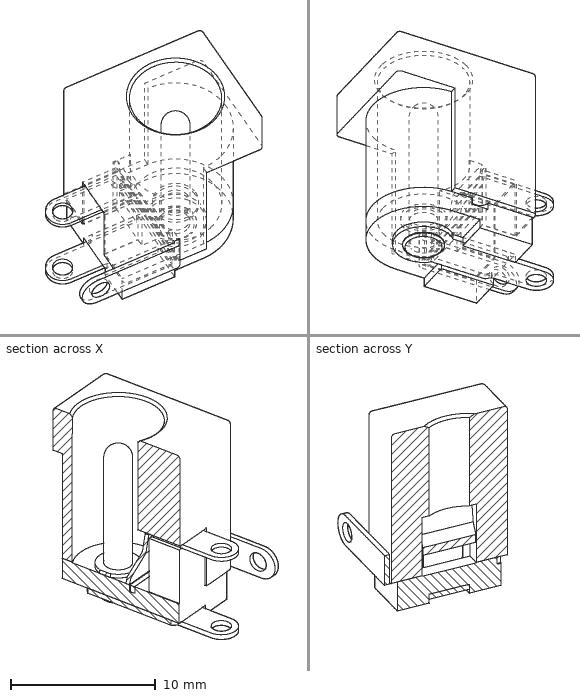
import cadquery as cq
import math


HOUSING_WIDTH = 9.0
HOUSING_BACK_Y = 4.5
HOUSING_FRONT_Y = -6.5
HOUSING_BOTTOM_Z = -11.97
HEAD_HEIGHT = 3.5
EDGE_RADIUS = 0.3
BARREL_RADIUS = 4.0
BORE_RADIUS = 3.2
BORE_CHAMFER = 0.2

BASE_FRONT_Y = -6.4
BASE_BOTTOM_Z = -13.59
FOOT_HEIGHT = 0.7
FOOT_BACK_Y = -2.25
TONGUE_WIDTH = 3.0
TONGUE_BACK_Y = -3.8
NOTCH_WIDTH = 3.07
NOTCH_TOP_Z = -7.3
EDGE_NOTCH_RADIUS = 0.61
EDGE_NOTCH_Y = -2.26

TAB_END_Y = -10.1
TAB_WIDTH = 2.4
TAB_HOLE_RADIUS = 0.7
TAB_ROUND_Y = TAB_END_Y + TAB_WIDTH / 2

PIN_TERMINAL_THICKNESS = 0.4
PIN_TERMINAL_RADIUS = 2.15
PIN_TERMINAL_NECK_WIDTH = 3.1
SHOULDER_Y = -5.7
SHOULDER_DEPTH = (PIN_TERMINAL_NECK_WIDTH - TAB_WIDTH) / 2

PIN_RADIUS = 1.01
PIN_TIP_Z = -2.19
FLANGE_RADIUS = 1.6
FLANGE_HEIGHT = 0.29
RIVET_RADIUS = 1.46
RIVET_HEIGHT = 0.23
RIVET_CHAMFER = 0.18

SPRING_THICKNESS = 0.3
SPRING_TOP_Z = -7.35
LEAF_WIDTH = 4.09
LEAF_POCKET_WIDTH = 4.18
LEAF_TOP_Y = -3.45
LEAF_BEND_Y = -3.21
LEAF_BEND_Z = -8.9
LEAF_KNEE_Y = -1.91
LEAF_KNEE_Z = -11.39
LEAF_TIP_Y = -1.78
LEAF_TIP_Z = HOUSING_BOTTOM_Z

SWITCH_THICKNESS = 0.4
SWITCH_BACK_Y = -2.18
SWITCH_FRONT_Y = SWITCH_BACK_Y - SWITCH_THICKNESS
SWITCH_CLEARANCE = 0.06
SWITCH_TOP_Z = HOUSING_BOTTOM_Z + TAB_WIDTH
SWITCH_OUTER_X = 5.01
SWITCH_INNER_BEND = 0.1
SWITCH_OUTER_BEND = SWITCH_INNER_BEND + SWITCH_THICKNESS
SWITCH_RISER_X = 3.5
SWITCH_HOLE_Y = -8.63
STRIP_LEFT_X = -3.42
STRIP_DEPTH = 0.53


def block(x0, x1, y0, y1, z0, z1):
    """Box between two opposite corners."""
    return cq.Workplane("XY").box(x1 - x0, y1 - y0, z1 - z0, centered=False).translate((x0, y0, z0))


def centered_block(width, y0, y1, z0, z1):
    """Box centered on the pin axis along X."""
    return block(-width / 2, width / 2, y0, y1, z0, z1)


def disc(radius, z0, z1):
    """Cylinder on the pin axis."""
    return cq.Workplane("XY").workplane(offset=z0).circle(radius).extrude(z1 - z0)


def solder_tab(back_y, bottom_z, thickness):
    """Flat tab with a round end and a hole, running from back_y to the tab end."""
    half = TAB_WIDTH / 2
    return (
        cq.Workplane("XY")
        .workplane(offset=bottom_z)
        .moveTo(-half, back_y)
        .lineTo(-half, TAB_ROUND_Y)
        .threePointArc((0, TAB_END_Y), (half, TAB_ROUND_Y))
        .lineTo(half, back_y)
        .close()
        .moveTo(0, TAB_ROUND_Y)
        .circle(TAB_HOLE_RADIUS)
        .extrude(thickness)
    )


def make_housing():
    half = HOUSING_WIDTH / 2
    body = centered_block(HOUSING_WIDTH, HOUSING_FRONT_Y, HOUSING_BACK_Y, HOUSING_BOTTOM_Z, 0)
    body = body.edges("|Z or >Z").fillet(EDGE_RADIUS)

    body = body.cut(centered_block(HOUSING_WIDTH, 0, HOUSING_BACK_Y, HOUSING_BOTTOM_Z, -HEAD_HEIGHT))
    body = body.union(disc(BARREL_RADIUS, HOUSING_BOTTOM_Z, -HEAD_HEIGHT))

    body = body.cut(disc(BORE_RADIUS, HOUSING_BOTTOM_Z, 0))
    body = body.faces(">Z").edges("%CIRCLE").chamfer(BORE_CHAMFER)

    notch = centered_block(NOTCH_WIDTH, HOUSING_FRONT_Y, 0, HOUSING_BOTTOM_Z, NOTCH_TOP_Z)
    pocket = centered_block(LEAF_POCKET_WIDTH, TONGUE_BACK_Y, 0, HOUSING_BOTTOM_Z, NOTCH_TOP_Z)
    body = body.cut(notch).cut(pocket)

    side_slot = block(SWITCH_RISER_X, half, SWITCH_FRONT_Y, SWITCH_BACK_Y, HOUSING_BOTTOM_Z, SWITCH_TOP_Z)
    return body.cut(side_slot)


def make_base():
    half = BARREL_RADIUS
    foot_z = BASE_BOTTOM_Z - FOOT_HEIGHT
    body = centered_block(2 * half, BASE_FRONT_Y, 0, BASE_BOTTOM_Z, HOUSING_BOTTOM_Z)
    body = body.union(disc(half, BASE_BOTTOM_Z, HOUSING_BOTTOM_Z))
    body = body.union(centered_block(2 * half, BASE_FRONT_Y, FOOT_BACK_Y, foot_z, BASE_BOTTOM_Z))
    tongue_top_z = SPRING_TOP_Z - SPRING_THICKNESS
    body = body.union(
        centered_block(TONGUE_WIDTH, BASE_FRONT_Y, TONGUE_BACK_Y, HOUSING_BOTTOM_Z, tongue_top_z)
    )

    body = body.cut(
        centered_block(PIN_TERMINAL_NECK_WIDTH, BASE_FRONT_Y, FOOT_BACK_Y, foot_z, BASE_BOTTOM_Z)
    )
    body = body.cut(disc(PIN_RADIUS, BASE_BOTTOM_Z, HOUSING_BOTTOM_Z))

    groove_z = HOUSING_BOTTOM_Z - STRIP_DEPTH
    groove_back_y = SWITCH_BACK_Y + SWITCH_CLEARANCE
    body = body.cut(
        block(STRIP_LEFT_X, half, SWITCH_FRONT_Y, groove_back_y, groove_z, HOUSING_BOTTOM_Z)
    )
    edge_notch = disc(EDGE_NOTCH_RADIUS, groove_z, HOUSING_BOTTOM_Z).translate((-half, EDGE_NOTCH_Y, 0))
    return body.cut(edge_notch)


def make_pin():
    rivet_top_z = BASE_BOTTOM_Z - PIN_TERMINAL_THICKNESS
    dome_z = PIN_TIP_Z - PIN_RADIUS
    shank = disc(PIN_RADIUS, rivet_top_z, dome_z)
    dome = cq.Workplane("XY").sphere(PIN_RADIUS).translate((0, 0, dome_z))
    flange = disc(FLANGE_RADIUS, HOUSING_BOTTOM_Z, HOUSING_BOTTOM_Z + FLANGE_HEIGHT)
    rivet = disc(RIVET_RADIUS, rivet_top_z - RIVET_HEIGHT, rivet_top_z).faces("<Z").chamfer(RIVET_CHAMFER)
    return shank.union(dome).union(flange).union(rivet)


def make_pin_terminal():
    bottom_z = BASE_BOTTOM_Z - PIN_TERMINAL_THICKNESS
    neck_half = PIN_TERMINAL_NECK_WIDTH / 2
    neck_end_y = SHOULDER_Y - SHOULDER_DEPTH
    neck = (
        cq.Workplane("XY")
        .workplane(offset=bottom_z)
        .polyline(
            [
                (-neck_half, 0),
                (-neck_half, SHOULDER_Y),
                (-TAB_WIDTH / 2, neck_end_y),
                (TAB_WIDTH / 2, neck_end_y),
                (neck_half, SHOULDER_Y),
                (neck_half, 0),
            ]
        )
        .close()
        .extrude(PIN_TERMINAL_THICKNESS)
    )
    plate = disc(PIN_TERMINAL_RADIUS, bottom_z, BASE_BOTTOM_Z).union(neck)
    plate = plate.union(solder_tab(0, bottom_z, PIN_TERMINAL_THICKNESS))
    return plate.cut(disc(PIN_RADIUS, bottom_z, BASE_BOTTOM_Z))


def make_spring_contact():
    lean = math.atan2(LEAF_KNEE_Y - LEAF_BEND_Y, LEAF_BEND_Z - LEAF_KNEE_Z)
    depth_y = SPRING_THICKNESS / math.cos(lean)
    pin_side = [
        (LEAF_TOP_Y, SPRING_TOP_Z),
        (LEAF_BEND_Y, LEAF_BEND_Z),
        (LEAF_KNEE_Y, LEAF_KNEE_Z),
        (LEAF_TIP_Y, LEAF_TIP_Z),
    ]
    tab_side = [(y - depth_y, z) for y, z in reversed(pin_side)]
    leaf = cq.Workplane("YZ").polyline(pin_side + tab_side).close().extrude(LEAF_WIDTH / 2, both=True)
    tab = solder_tab(LEAF_TOP_Y - depth_y / 2, SPRING_TOP_Z - SPRING_THICKNESS, SPRING_THICKNESS)
    return leaf.union(tab)


def blade_disc(y, radius):
    """Disc as thick as the switch terminal, in the plane of its blade and at mid-height."""
    return (
        cq.Workplane("YZ")
        .workplane(offset=SWITCH_OUTER_X - SWITCH_THICKNESS)
        .center(y, HOUSING_BOTTOM_Z + TAB_WIDTH / 2)
        .circle(radius)
        .extrude(SWITCH_THICKNESS)
    )


def make_switch_terminal():
    bend_x = SWITCH_OUTER_X - SWITCH_OUTER_BEND
    bend_y = SWITCH_BACK_Y - SWITCH_OUTER_BEND
    diagonal = math.sqrt(0.5)
    outer_mid = (bend_x + SWITCH_OUTER_BEND * diagonal, bend_y + SWITCH_OUTER_BEND * diagonal)
    inner_mid = (bend_x + SWITCH_INNER_BEND * diagonal, bend_y + SWITCH_INNER_BEND * diagonal)
    sheet = (
        cq.Workplane("XY")
        .workplane(offset=HOUSING_BOTTOM_Z)
        .moveTo(SWITCH_RISER_X, SWITCH_BACK_Y)
        .lineTo(bend_x, SWITCH_BACK_Y)
        .threePointArc(outer_mid, (SWITCH_OUTER_X, bend_y))
        .lineTo(SWITCH_OUTER_X, TAB_ROUND_Y)
        .lineTo(SWITCH_OUTER_X - SWITCH_THICKNESS, TAB_ROUND_Y)
        .lineTo(SWITCH_OUTER_X - SWITCH_THICKNESS, bend_y)
        .threePointArc(inner_mid, (bend_x, SWITCH_FRONT_Y))
        .lineTo(SWITCH_RISER_X, SWITCH_FRONT_Y)
        .close()
        .extrude(TAB_WIDTH)
    )
    sheet = sheet.union(blade_disc(TAB_ROUND_Y, TAB_WIDTH / 2))
    sheet = sheet.cut(blade_disc(SWITCH_HOLE_Y, TAB_HOLE_RADIUS))

    strip = block(
        STRIP_LEFT_X,
        BARREL_RADIUS,
        SWITCH_FRONT_Y,
        SWITCH_BACK_Y,
        HOUSING_BOTTOM_Z - STRIP_DEPTH,
        HOUSING_BOTTOM_Z,
    )
    return sheet.union(strip)


housing = make_housing()
base = make_base()
pin = make_pin()
pin_terminal = make_pin_terminal()
spring_contact = make_spring_contact()
switch_terminal = make_switch_terminal()

result = cq.Compound.makeCompound(
    [
        housing.val(),
        base.val(),
        pin.val(),
        pin_terminal.val(),
        spring_contact.val(),
        switch_terminal.val(),
    ]
)